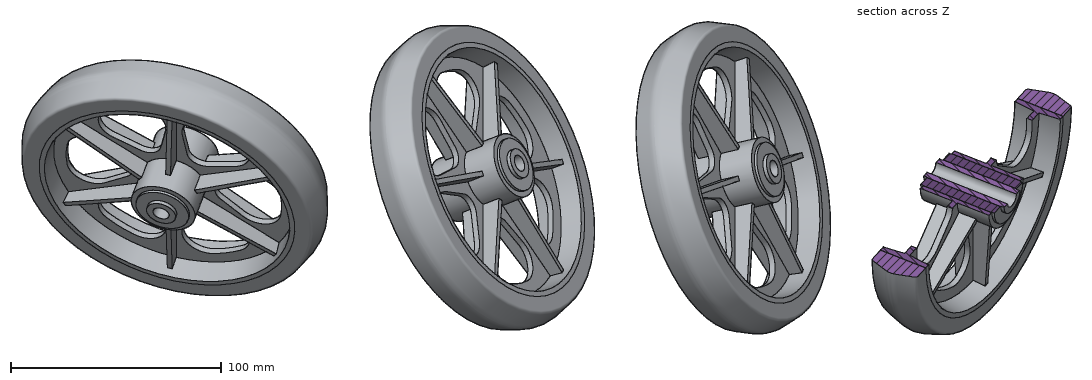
import cadquery as cq
import math


TYRE_RADIUS = 75.6
TYRE_WIDTH = 25.3
TYRE_HALF_WIDTH = TYRE_WIDTH / 2
TYRE_INNER_RADIUS = 63.5
CROWN_RADIUS = 9.1
CROWN_HALF_WIDTH = 3.2
SHOULDER_RADIUS = 72.0
SHOULDER_FILLET = 1.5

RIM_LIP_RADIUS = 61.0
RIM_ROOT_RADIUS = 59.8
WEB_HALF_THICKNESS = 1.5
SPOKE_COUNT = 6
SPOKE_STEP = 360.0 / SPOKE_COUNT
RIB_THICKNESS = 2.4
RIB_OUTER_END = (RIM_LIP_RADIUS + TYRE_INNER_RADIUS) / 2
RIB_HALF_HEIGHT_AT_HUB = 10.9
RIB_HALF_HEIGHT_AT_RIM = 8.0
HUB_RADIUS = 15.9
HUB_HALF_LENGTH = 19.0

WINDOW_OUTER_RADIUS = 53.5
WINDOW_APEX_RADIUS = 16.2
WINDOW_SIDE_ANGLE = 39.6
WINDOW_INNER_FILLET = 7.5
WINDOW_OUTER_FILLET = 11.5

SLEEVE_RADIUS = 13.2
SLEEVE_HALF_LENGTH = 20.4
TUBE_RADIUS = 7.3
TUBE_LENGTH = 44.6
TUBE_HALF_LENGTH = TUBE_LENGTH / 2
BORE_RADIUS = 4.01


def axial_cylinder(radius, half_length):
    """Cylinder on the Y axis, centred on the XZ plane."""
    return cq.Workplane("XZ").circle(radius).extrude(half_length, both=True)


def axial_tube(outer_radius, inner_radius, half_length):
    return axial_cylinder(outer_radius, half_length).cut(axial_cylinder(inner_radius, half_length))


def revolve_about_axle(profile):
    """Revolve a YZ profile, with Z as the radius, about the Y axis."""
    return profile.close().revolve(360, (0, 0, 0), (1, 0, 0))


def make_tyre():
    crown_angle = math.asin(CROWN_HALF_WIDTH / CROWN_RADIUS)
    crown_edge_radius = TYRE_RADIUS - CROWN_RADIUS * (1 - math.cos(crown_angle))
    half_crown_angle = crown_angle / 2
    mid_radius = TYRE_RADIUS - CROWN_RADIUS * (1 - math.cos(half_crown_angle))
    mid_width = CROWN_RADIUS * math.sin(half_crown_angle)
    profile = (
        cq.Workplane("YZ")
        .moveTo(-TYRE_HALF_WIDTH, TYRE_INNER_RADIUS)
        .lineTo(-TYRE_HALF_WIDTH, SHOULDER_RADIUS)
        .lineTo(-CROWN_HALF_WIDTH, crown_edge_radius)
        .threePointArc((-mid_width, mid_radius), (0, TYRE_RADIUS))
        .threePointArc((mid_width, mid_radius), (CROWN_HALF_WIDTH, crown_edge_radius))
        .lineTo(TYRE_HALF_WIDTH, SHOULDER_RADIUS)
        .lineTo(TYRE_HALF_WIDTH, TYRE_INNER_RADIUS)
    )
    tyre = revolve_about_axle(profile)
    outer_edge = cq.selectors.RadiusNthSelector(-1)
    for side in (">Y", "<Y"):
        tyre = tyre.faces(side).edges(outer_edge).fillet(SHOULDER_FILLET)
    return tyre


def make_rim_and_web():
    """Rim with drafted inner walls on both sides of a flat central web."""
    profile = (
        cq.Workplane("YZ")
        .moveTo(-WEB_HALF_THICKNESS, 0)
        .lineTo(-WEB_HALF_THICKNESS, RIM_ROOT_RADIUS)
        .lineTo(-TYRE_HALF_WIDTH, RIM_LIP_RADIUS)
        .lineTo(-TYRE_HALF_WIDTH, TYRE_INNER_RADIUS)
        .lineTo(TYRE_HALF_WIDTH, TYRE_INNER_RADIUS)
        .lineTo(TYRE_HALF_WIDTH, RIM_LIP_RADIUS)
        .lineTo(WEB_HALF_THICKNESS, RIM_ROOT_RADIUS)
        .lineTo(WEB_HALF_THICKNESS, 0)
    )
    return revolve_about_axle(profile)


def make_window():
    """Cutter for the window centred on the +X axis."""
    wedge_length = WINDOW_OUTER_RADIUS
    wedge_end = WINDOW_APEX_RADIUS + wedge_length
    half_spread = wedge_length * math.tan(math.radians(WINDOW_SIDE_ANGLE))
    wedge = (
        cq.Workplane("XZ")
        .moveTo(WINDOW_APEX_RADIUS, 0)
        .lineTo(wedge_end, -half_spread)
        .lineTo(wedge_end, half_spread)
        .close()
        .extrude(WEB_HALF_THICKNESS, both=True)
    )
    window = wedge.intersect(axial_cylinder(WINDOW_OUTER_RADIUS, WEB_HALF_THICKNESS))
    window = window.edges("|Y and <X").fillet(WINDOW_INNER_FILLET)
    return window.edges("|Y and (>Z or <Z)").fillet(WINDOW_OUTER_FILLET)


def make_rib():
    """Tapered rib along +Z, standing out of both faces of the web."""
    return (
        cq.Workplane("YZ")
        .moveTo(-RIB_HALF_HEIGHT_AT_HUB, HUB_RADIUS)
        .lineTo(-RIB_HALF_HEIGHT_AT_HUB, 0)
        .lineTo(RIB_HALF_HEIGHT_AT_HUB, 0)
        .lineTo(RIB_HALF_HEIGHT_AT_HUB, HUB_RADIUS)
        .lineTo(RIB_HALF_HEIGHT_AT_RIM, RIB_OUTER_END)
        .lineTo(-RIB_HALF_HEIGHT_AT_RIM, RIB_OUTER_END)
        .close()
        .extrude(RIB_THICKNESS / 2, both=True)
    )


def turned(body, index):
    return body.rotate((0, 0, 0), (0, 1, 0), index * SPOKE_STEP)


def make_wheel():
    wheel = make_rim_and_web()
    window = make_window()
    rib = make_rib()
    for index in range(SPOKE_COUNT):
        wheel = wheel.cut(turned(window, index)).union(turned(rib, index))
    wheel = wheel.union(axial_cylinder(HUB_RADIUS, HUB_HALF_LENGTH))
    return wheel.cut(axial_cylinder(SLEEVE_RADIUS, HUB_HALF_LENGTH))


tyre = make_tyre()
wheel = make_wheel()
bearing_sleeve = axial_tube(SLEEVE_RADIUS, TUBE_RADIUS, SLEEVE_HALF_LENGTH)
axle_tube = axial_tube(TUBE_RADIUS, BORE_RADIUS, TUBE_HALF_LENGTH)

result = cq.Compound.makeCompound([tyre.val(), wheel.val(), bearing_sleeve.val(), axle_tube.val()])